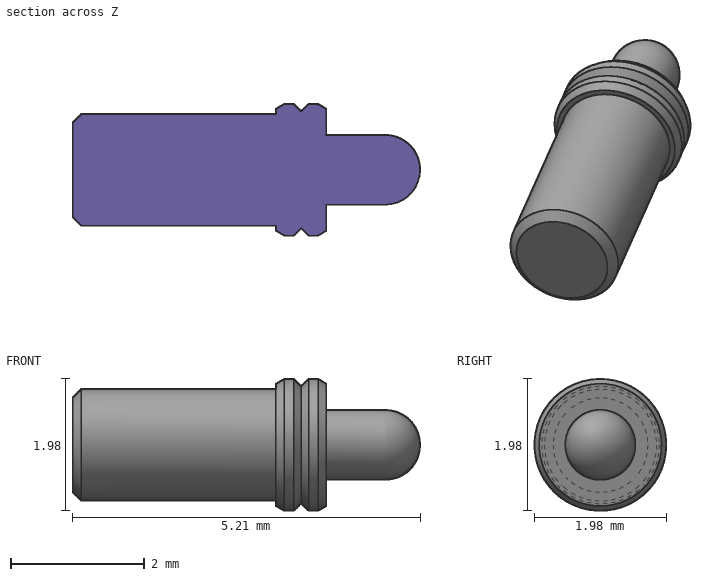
import cadquery as cq
import math

total_length = 5.21
body_radius = 0.84
body_chamfer = 0.13
collar_start = 3.05
collar_radius = 0.99
collar_edge_drop = 0.075
collar_edge_length = 0.125
ring_land = 0.14
groove_depth = 0.11
groove_half_width = 0.112
tip_radius = 0.525

rear_land_start = collar_start + collar_edge_length
rear_land_end = rear_land_start + ring_land
groove_bottom = rear_land_end + groove_half_width
front_land_start = groove_bottom + groove_half_width
front_land_end = front_land_start + ring_land
collar_end = front_land_end + collar_edge_length
dome_start = total_length - tip_radius

collar_edge_radius = collar_radius - collar_edge_drop
groove_radius = collar_radius - groove_depth
dome_middle = tip_radius * math.sqrt(0.5)

profile = (
    cq.Workplane("XY")
    .moveTo(0, 0)
    .lineTo(0, body_radius - body_chamfer)
    .lineTo(body_chamfer, body_radius)
    .lineTo(collar_start, body_radius)
    .lineTo(collar_start, collar_edge_radius)
    .lineTo(rear_land_start, collar_radius)
    .lineTo(rear_land_end, collar_radius)
    .lineTo(groove_bottom, groove_radius)
    .lineTo(front_land_start, collar_radius)
    .lineTo(front_land_end, collar_radius)
    .lineTo(collar_end, collar_edge_radius)
    .lineTo(collar_end, tip_radius)
    .lineTo(dome_start, tip_radius)
    .threePointArc((dome_start + dome_middle, dome_middle), (total_length, 0))
    .close()
)

full_turn = 360
result = profile.revolve(full_turn, (0, 0, 0), (1, 0, 0))